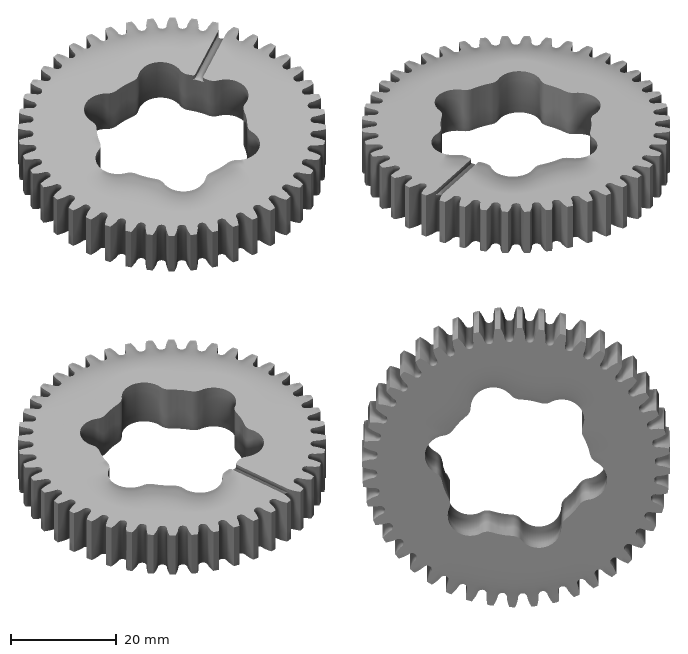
import cadquery as cq
import math

tooth_count = 44
pitch_radius = 27.95
pressure_angle = math.radians(14.5)
face_width = 9.5
root_radius = 26.3
tooth_thinning = 0.04
flank_start_radius = 27.1
flank_points = 6

module = 2 * pitch_radius / tooth_count
tip_radius = pitch_radius + module
base_radius = pitch_radius * math.cos(pressure_angle)
tooth_pitch_angle = 2 * math.pi / tooth_count

lobe_count = 6
core_radius = 14.3
lobe_radius = 4.25
lobe_centre_radius = 13.25
blend_radius = 2.35

groove_width = 1.65
groove_depth = 1.0
groove_mouth_radius = 0.45


def polar(radius, angle, centre=(0, 0)):
    """Point at a radius and an angle (radians) about a centre."""
    return (centre[0] + radius * math.cos(angle), centre[1] + radius * math.sin(angle))


def involute(angle):
    """Involute function: the polar angle swept at a given pressure angle."""
    return math.tan(angle) - angle


def tooth_half_angle(radius):
    """Half the angle that a tooth spans at a radius on its involute flank."""
    local_pressure_angle = math.acos(base_radius / radius)
    pitch_half_angle = tooth_pitch_angle / 4 - tooth_thinning / pitch_radius
    return pitch_half_angle + involute(pressure_angle) - involute(local_pressure_angle)


def gear_blank():
    """Solid gear with a tooth space centred on +X."""
    flank_step = (tip_radius - flank_start_radius) / (flank_points - 1)
    flank_radii = [flank_start_radius + i * flank_step for i in range(flank_points)]
    start_half_angle = tooth_half_angle(flank_start_radius)

    outline = cq.Workplane("XY").moveTo(*polar(flank_start_radius, tooth_pitch_angle / 2 - start_half_angle))
    for i in range(tooth_count):
        tooth = (i + 0.5) * tooth_pitch_angle
        rising_flank = [polar(r, tooth - tooth_half_angle(r)) for r in flank_radii]
        falling_flank = [polar(r, tooth + tooth_half_angle(r)) for r in reversed(flank_radii)]
        next_space = tooth + tooth_pitch_angle / 2
        next_tooth_start = polar(flank_start_radius, tooth + tooth_pitch_angle - start_half_angle)
        outline = (
            outline.spline(rising_flank[1:], includeCurrent=True)
            .threePointArc(polar(tip_radius, tooth), falling_flank[0])
            .spline(falling_flank[1:], includeCurrent=True)
            .threePointArc(polar(root_radius, next_space), next_tooth_start)
        )
    return outline.close().extrude(face_width)


def lobed_bore():
    """Cutter for the bore, with one lobe on +X."""
    blend_centre_radius = core_radius + blend_radius
    blend_to_lobe = lobe_radius + blend_radius
    blend_angle = math.acos(
        (blend_centre_radius**2 + lobe_centre_radius**2 - blend_to_lobe**2)
        / (2 * blend_centre_radius * lobe_centre_radius)
    )
    lobe_pitch_angle = 2 * math.pi / lobe_count

    def blend(lobe, side):
        """Start, middle and end of a blend, from the core to the lobe."""
        blend_centre = polar(blend_centre_radius, lobe + side * blend_angle)
        lobe_centre = polar(lobe_centre_radius, lobe)
        to_lobe = math.atan2(lobe_centre[1] - blend_centre[1], lobe_centre[0] - blend_centre[0])
        to_core = lobe + side * blend_angle + math.pi
        turn = math.remainder(to_lobe - to_core, 2 * math.pi)
        return [polar(blend_radius, to_core + share * turn, blend_centre) for share in (0, 0.5, 1)]

    outline = cq.Workplane("XY").moveTo(*blend(0, -1)[0])
    for i in range(lobe_count):
        lobe = i * lobe_pitch_angle
        _, first_middle, first_end = blend(lobe, -1)
        last_end, last_middle, last_start = blend(lobe, 1)
        next_core = blend(lobe + lobe_pitch_angle, -1)[0]
        outline = (
            outline.threePointArc(first_middle, first_end)
            .threePointArc(polar(lobe_centre_radius + lobe_radius, lobe), last_start)
            .threePointArc(last_middle, last_end)
            .threePointArc(polar(core_radius, lobe + lobe_pitch_angle / 2), next_core)
        )
    return outline.close().extrude(face_width)


def alignment_groove():
    """Cutter for the groove running from the bore out through a tooth space."""
    return (
        cq.Workplane("XY")
        .box(groove_width, tip_radius, groove_depth, centered=(True, False, False))
        .translate((0, 0, face_width - groove_depth))
    )


def round_groove_mouth(gear):
    """Round the two upright corners where the groove walls meet the bore."""
    mouth_zone = cq.selectors.BoxSelector(
        (-groove_width, core_radius - groove_width, face_width - groove_depth),
        (groove_width, core_radius + groove_width, face_width),
    )
    return gear.edges("|Z").edges(mouth_zone).fillet(groove_mouth_radius)


gear = gear_blank().cut(lobed_bore()).cut(alignment_groove())
result = round_groove_mouth(gear)